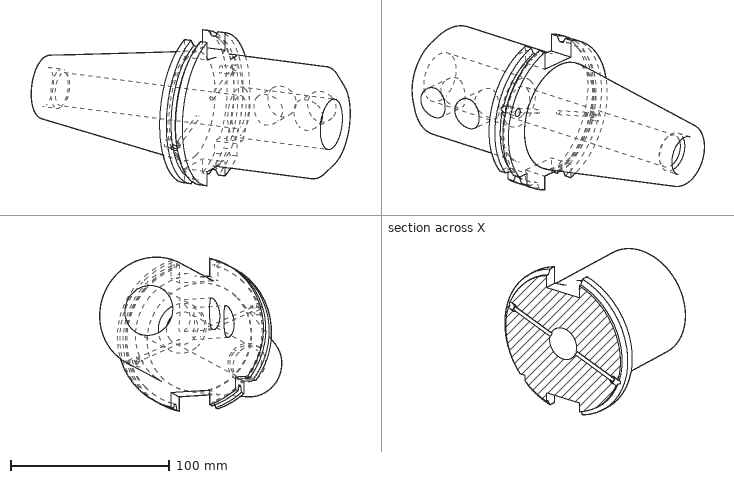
import cadquery as cq
import math


GAUGE_DIA = 69.85
TAPER_RATIO = 7 / 24
SHANK_LENGTH = 101.75
SHANK_END_FILLET = 2.5
GAUGE_LAND_LENGTH = 1.5
NECK_DIA = 69.65
NECK_FILLET = 0.6

FLANGE_DIA = 97.5
FLANGE_FRONT_X = 3.2
FLANGE_BACK_X = 19.1
FLANGE_BODY_FILLET = 3.0
GROOVE_CENTRE_X = 11.1
GROOVE_FLOOR_DIA = 91.25
GROOVE_TOP_WIDTH = 6.5
GROOVE_HALF_ANGLE = 30.0

SLOT_WIDTH = 25.7
UPPER_SLOT_FLOOR = 35.5
LOWER_SLOT_FLOOR = 37.7
NOTCH_OFFSET = 30.25

FACE_HOLE_DIA = 5.0
RADIAL_HOLE_DIA = 4.2
CHANNEL_DIA = 2.5
COOLANT_PITCH_RADIUS = 42.0
COOLANT_ANGLES = (20.0, 200.0)

BODY_DIA = 71.5
BODY_END_X = 100.0
NOSE_CHAMFER = 8.0
NOSE_FILLET = 1.5

TOOL_BORE_DIA = 32.0
TOOL_BORE_DEPTH = 65.0
THROUGH_BORE_DIA = 21.0
PILOT_BORE_DIA = 25.0
PILOT_BORE_DEPTH = 11.0
PILOT_MOUTH_RADIUS = 1.5

SCREW_HOLE_DIA = 20.0
SCREW_DISTANCES_FROM_NOSE = (24.0, 52.0)


def make_blank():
    """Revolve the outer profile of shank, flange and body."""
    gauge_radius = GAUGE_DIA / 2
    neck_radius = NECK_DIA / 2
    flange_radius = FLANGE_DIA / 2
    body_radius = BODY_DIA / 2
    shank_end_radius = gauge_radius - SHANK_LENGTH * TAPER_RATIO / 2
    floor_radius = GROOVE_FLOOR_DIA / 2
    top_half = GROOVE_TOP_WIDTH / 2
    floor_half = top_half - (flange_radius - floor_radius) * math.tan(math.radians(GROOVE_HALF_ANGLE))
    profile = (
        cq.Workplane("XY")
        .moveTo(-SHANK_LENGTH, 0)
        .lineTo(-SHANK_LENGTH, shank_end_radius)
        .lineTo(0, gauge_radius)
        .lineTo(GAUGE_LAND_LENGTH, gauge_radius)
        .lineTo(GAUGE_LAND_LENGTH, neck_radius)
        .lineTo(FLANGE_FRONT_X - NECK_FILLET, neck_radius)
        .radiusArc((FLANGE_FRONT_X, neck_radius + NECK_FILLET), -NECK_FILLET)
        .lineTo(FLANGE_FRONT_X, flange_radius)
        .lineTo(GROOVE_CENTRE_X - top_half, flange_radius)
        .lineTo(GROOVE_CENTRE_X - floor_half, floor_radius)
        .lineTo(GROOVE_CENTRE_X + floor_half, floor_radius)
        .lineTo(GROOVE_CENTRE_X + top_half, flange_radius)
        .lineTo(FLANGE_BACK_X, flange_radius)
        .lineTo(FLANGE_BACK_X, body_radius + FLANGE_BODY_FILLET)
        .radiusArc((FLANGE_BACK_X + FLANGE_BODY_FILLET, body_radius), -FLANGE_BODY_FILLET)
        .lineTo(BODY_END_X - NOSE_CHAMFER, body_radius)
        .lineTo(BODY_END_X, body_radius - NOSE_CHAMFER)
        .lineTo(BODY_END_X, 0)
        .close()
    )
    blank = profile.revolve(360, (0, 0, 0), (1, 0, 0))
    blank = blank.faces("<X").edges().fillet(SHANK_END_FILLET)
    nose_edges = cq.selectors.BoxSelector(
        (BODY_END_X - NOSE_CHAMFER - NOSE_FILLET, -BODY_DIA, -BODY_DIA),
        (BODY_END_X + NOSE_FILLET, BODY_DIA, BODY_DIA),
        boundingbox=True,
    )
    return blank.edges(nose_edges).edges("%CIRCLE").fillet(NOSE_FILLET)


def axial_cylinder(dia, start_x, end_x):
    return cq.Workplane("YZ", origin=(start_x, 0, 0)).circle(dia / 2).extrude(end_x - start_x)


def make_axial_bores():
    """Tool bore, through bore and pull-stud pilot with a rounded mouth and a 45 degree floor."""
    through_radius = THROUGH_BORE_DIA / 2
    pilot_radius = PILOT_BORE_DIA / 2
    tool_radius = TOOL_BORE_DIA / 2
    pilot_end_x = PILOT_BORE_DEPTH - SHANK_LENGTH
    tool_bore_start_x = BODY_END_X - TOOL_BORE_DEPTH
    profile = (
        cq.Workplane("XY")
        .moveTo(-SHANK_LENGTH, 0)
        .lineTo(-SHANK_LENGTH, pilot_radius + PILOT_MOUTH_RADIUS)
        .radiusArc((-SHANK_LENGTH + PILOT_MOUTH_RADIUS, pilot_radius), -PILOT_MOUTH_RADIUS)
        .lineTo(pilot_end_x, pilot_radius)
        .lineTo(pilot_end_x + pilot_radius - through_radius, through_radius)
        .lineTo(tool_bore_start_x, through_radius)
        .lineTo(tool_bore_start_x, tool_radius)
        .lineTo(BODY_END_X, tool_radius)
        .lineTo(BODY_END_X, 0)
        .close()
    )
    return profile.revolve(360, (0, 0, 0), (1, 0, 0))


def make_drive_slot(floor_height, side):
    """Round-ended slot milled across the flange; side is +1 for the top and -1 for the bottom."""
    half_width = SLOT_WIDTH / 2
    return (
        cq.Workplane("XY", origin=(0, 0, side * floor_height))
        .moveTo(0, -half_width)
        .lineTo(FLANGE_BACK_X, -half_width)
        .threePointArc((FLANGE_BACK_X + half_width, 0), (FLANGE_BACK_X, half_width))
        .lineTo(0, half_width)
        .close()
        .extrude(side * FLANGE_DIA / 2)
    )


def make_orientation_notch():
    """Square corner cut through the full flange on the +Y, -Z side."""
    return (
        cq.Workplane("XY")
        .box(FLANGE_BACK_X - FLANGE_FRONT_X, FLANGE_DIA, FLANGE_DIA, centered=False)
        .translate((FLANGE_FRONT_X, NOTCH_OFFSET, -NOTCH_OFFSET - FLANGE_DIA))
    )


def radial_cylinder(dia, x, inner_radius, outer_radius):
    """Cylinder along +Y between two distances from the holder axis."""
    return (
        cq.Workplane("XZ", origin=(x, inner_radius, 0))
        .circle(dia / 2)
        .extrude(inner_radius - outer_radius)
    )


def make_coolant_holes(angle):
    """Hole in the flange face, stepped radial drilling from the groove and channel to the bore."""
    face_hole = axial_cylinder(FACE_HOLE_DIA, FLANGE_FRONT_X, GROOVE_CENTRE_X)
    holes = face_hole.translate((0, COOLANT_PITCH_RADIUS, 0))
    holes = holes.union(
        radial_cylinder(RADIAL_HOLE_DIA, GROOVE_CENTRE_X, COOLANT_PITCH_RADIUS, FLANGE_DIA / 2)
    )
    holes = holes.union(radial_cylinder(CHANNEL_DIA, GROOVE_CENTRE_X, 0, COOLANT_PITCH_RADIUS))
    return holes.rotate((0, 0, 0), (1, 0, 0), angle)


def make_screw_hole(distance_from_nose):
    """Radial clamping-screw hole from the +Y side into the tool bore."""
    return radial_cylinder(SCREW_HOLE_DIA, BODY_END_X - distance_from_nose, 0, BODY_DIA / 2)


result = make_blank().cut(make_axial_bores())
result = result.cut(make_drive_slot(UPPER_SLOT_FLOOR, 1))
result = result.cut(make_drive_slot(LOWER_SLOT_FLOOR, -1))
result = result.cut(make_orientation_notch())
for coolant_angle in COOLANT_ANGLES:
    result = result.cut(make_coolant_holes(coolant_angle))
for screw_distance in SCREW_DISTANCES_FROM_NOSE:
    result = result.cut(make_screw_hole(screw_distance))